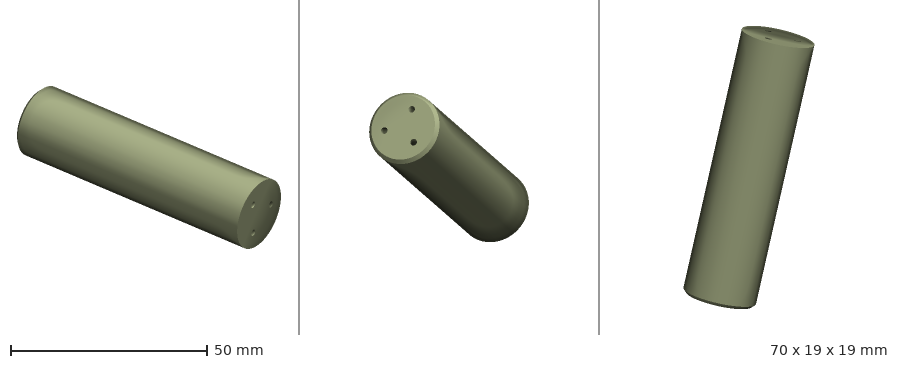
import cadquery as cq
import math

length = 70
diameter = 19.0
chamfer = 0.9

hole_count = 3
hole_diameter = 1.75
hole_circle_radius = 5.1
first_hole_angle = -3.6
helix_angle = 30

helix_pitch = math.pi * diameter / math.tan(math.radians(helix_angle))
twist = 360 * length / helix_pitch


def rod():
    """Plain cylinder with one chamfered end."""
    cylinder = cq.Workplane("YZ").circle(diameter / 2).extrude(length)
    return cylinder.faces("<X").chamfer(chamfer)


def helical_hole(angle):
    """Round section twisted about the rod axis, starting at the given angle."""
    start_y = hole_circle_radius * math.cos(math.radians(angle))
    start_z = hole_circle_radius * math.sin(math.radians(angle))
    section = cq.Workplane("YZ").center(start_y, start_z).circle(hole_diameter / 2)
    return section.center(-start_y, -start_z).twistExtrude(length, twist)


result = rod()
for index in range(hole_count):
    result = result.cut(helical_hole(first_hole_angle + index * 360 / hole_count))